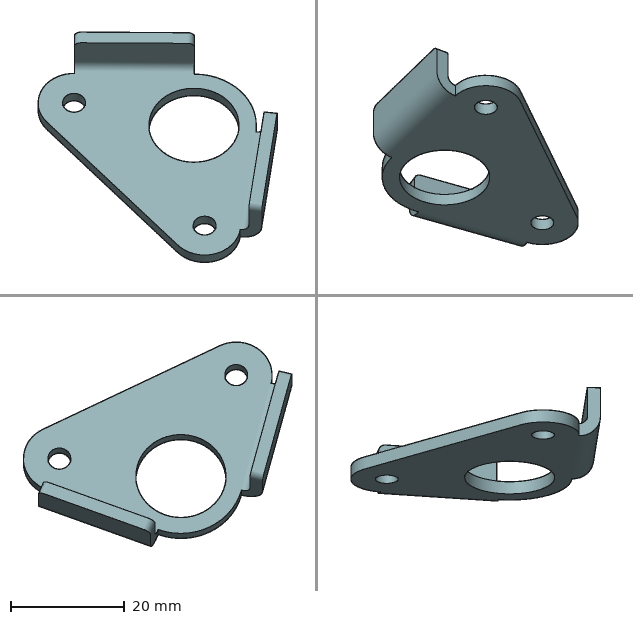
import cadquery as cq
import math

length = 50.1
height = 9.5

thickness = 2.3
hole_spacing = 34.95
bore_offset = 12.75
corner_radius = 6.3
bore_end_radius = 10.95
mounting_hole_diameter = 4.0
bore_diameter = 15.85

tab_corner_radius = 1.2

half_spacing = hole_spacing / 2
center_distance = math.hypot(half_spacing, bore_offset)
radius_step = bore_end_radius - corner_radius
edge_length = math.sqrt(center_distance**2 - radius_step**2)
edge_angle = math.atan2(bore_offset, half_spacing) + math.asin(radius_step / center_distance)
normal_x = math.sin(edge_angle)
normal_y = math.cos(edge_angle)
edge_low = (half_spacing + corner_radius * normal_x, corner_radius * normal_y)
edge_high = (bore_end_radius * normal_x, bore_offset + bore_end_radius * normal_y)

bend_outer_radius = (length / 2 - edge_low[0]) / normal_x
bend_inner_radius = bend_outer_radius - thickness


def make_plate():
    """Rounded triangular plate, with the mounting holes on the X axis."""
    mid_angle = (math.atan2(normal_y, normal_x) - math.pi / 2) / 2
    mid_x = half_spacing + corner_radius * math.cos(mid_angle)
    mid_y = corner_radius * math.sin(mid_angle)
    plate = (
        cq.Workplane("XY")
        .moveTo(-half_spacing, -corner_radius)
        .lineTo(half_spacing, -corner_radius)
        .threePointArc((mid_x, mid_y), edge_low)
        .lineTo(*edge_high)
        .threePointArc((0, bore_offset + bore_end_radius), (-edge_high[0], edge_high[1]))
        .lineTo(-edge_low[0], edge_low[1])
        .threePointArc((-mid_x, mid_y), (-half_spacing, -corner_radius))
        .close()
        .extrude(thickness)
    )
    mounting_holes = (
        cq.Workplane("XY")
        .pushPoints([(-half_spacing, 0), (half_spacing, 0)])
        .circle(mounting_hole_diameter / 2)
        .extrude(thickness)
    )
    bore = cq.Workplane("XY").center(0, bore_offset).circle(bore_diameter / 2).extrude(thickness)
    return plate.cut(mounting_holes).cut(bore)


def make_right_tab():
    """Upright tab, bent up along the whole right sloping edge."""
    profile_plane = cq.Plane(
        origin=(edge_low[0], edge_low[1], 0),
        xDir=(normal_x, normal_y, 0),
        normal=(normal_y, -normal_x, 0),
    )
    diagonal = math.sqrt(0.5)
    inner_mid = (bend_inner_radius * diagonal, bend_outer_radius - bend_inner_radius * diagonal)
    outer_mid = (bend_outer_radius * diagonal, bend_outer_radius * (1 - diagonal))
    tab = (
        cq.Workplane(profile_plane)
        .threePointArc(outer_mid, (bend_outer_radius, bend_outer_radius))
        .lineTo(bend_outer_radius, height)
        .lineTo(bend_inner_radius, height)
        .lineTo(bend_inner_radius, bend_outer_radius)
        .threePointArc(inner_mid, (0, thickness))
        .close()
        .extrude(-edge_length)
    )
    across_thickness = cq.selectors.ParallelDirSelector(cq.Vector(normal_x, normal_y, 0))
    return tab.faces(">Z").edges(across_thickness).fillet(tab_corner_radius)


right_tab = make_right_tab()
left_tab = right_tab.mirror("YZ")
result = make_plate().union(right_tab).union(left_tab)